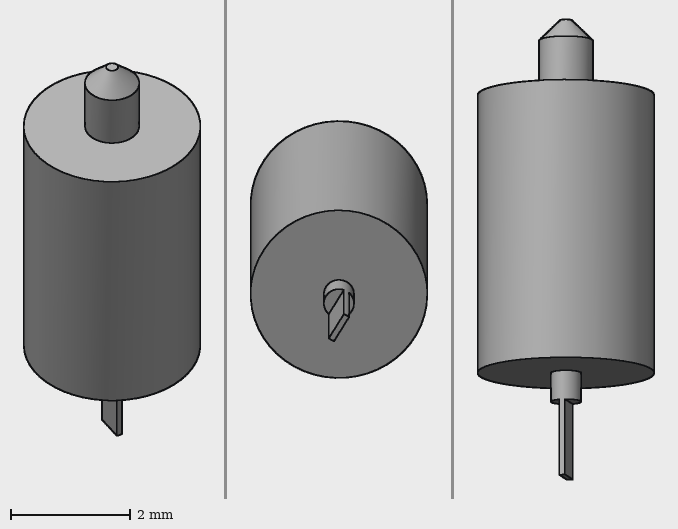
import cadquery as cq

HOUSING_DIAMETER = 2.97
HOUSING_LENGTH = 4.74

HEAD_DIAMETER = 0.91
TIP_DIAMETER = 0.2
CONE_HEIGHT = 0.35
SHANK_DIAMETER = 0.51
SHANK_EXPOSED = 0.49
BLADE_LENGTH = 1.29
BLADE_THICKNESS = 0.1
TOTAL_HEIGHT = 7.8

SHANK_BOTTOM = BLADE_LENGTH
HOUSING_BOTTOM = SHANK_BOTTOM + SHANK_EXPOSED
HOUSING_TOP = HOUSING_BOTTOM + HOUSING_LENGTH
CONE_BOTTOM = TOTAL_HEIGHT - CONE_HEIGHT


def make_housing():
    """Cylinder with a through bore that fits the pin shank."""
    return (
        cq.Workplane("XY")
        .workplane(offset=HOUSING_BOTTOM)
        .circle(HOUSING_DIAMETER / 2)
        .circle(SHANK_DIAMETER / 2)
        .extrude(HOUSING_LENGTH)
    )


def make_pin():
    """Turned shank and pointed head, with a flat blade at the lower end."""
    turned = (
        cq.Workplane("XZ")
        .moveTo(0, SHANK_BOTTOM)
        .lineTo(SHANK_DIAMETER / 2, SHANK_BOTTOM)
        .lineTo(SHANK_DIAMETER / 2, HOUSING_TOP)
        .lineTo(HEAD_DIAMETER / 2, HOUSING_TOP)
        .lineTo(HEAD_DIAMETER / 2, CONE_BOTTOM)
        .lineTo(TIP_DIAMETER / 2, TOTAL_HEIGHT)
        .lineTo(0, TOTAL_HEIGHT)
        .close()
        .revolve(360, (0, 0, 0), (0, 1, 0))
    )
    blade = cq.Workplane("XY").circle(SHANK_DIAMETER / 2).extrude(BLADE_LENGTH)
    slab = cq.Workplane("XY").box(
        SHANK_DIAMETER, BLADE_THICKNESS, BLADE_LENGTH, centered=(True, True, False)
    )
    return turned.union(blade.intersect(slab))


housing = make_housing()
pin = make_pin()

result = cq.Compound.makeCompound([housing.val(), pin.val()])